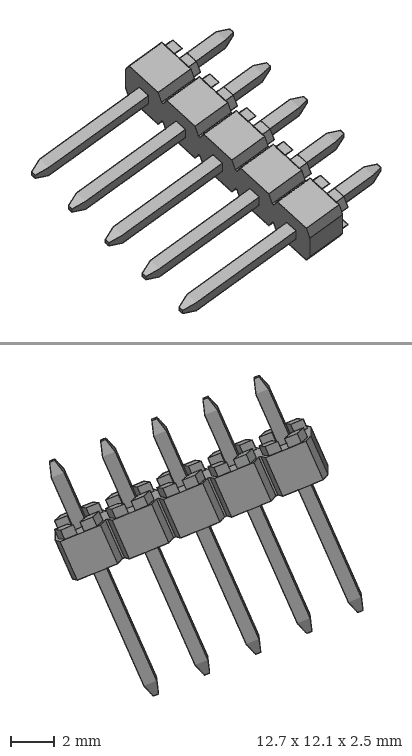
import cadquery as cq


PIN_COUNT = 5
BODY_LENGTH = 12.7
BODY_DEPTH = 2.01
BODY_HEIGHT = 2.5
PITCH = BODY_LENGTH / PIN_COUNT
BEVEL_RUN = 0.24
BEVEL_DROP = 0.52
NOTCH_FLOOR = 0.1

PIN_WIDTH = 0.64
TIP_WIDTH = 0.25
TIP_LENGTH = 0.66
PIN_LENGTH = 12.12
BACK_TAIL = 3.35

FOOT_DEPTH = 0.48
FOOT_HEIGHT = 0.52
FOOT_INSET = 0.05
FOOT_INNER = 0.17
FOOT_OUTER = 0.8
FOOT_SLANT = 0.3

BODY_BACK = PIN_LENGTH / 2 - BACK_TAIL
BODY_FRONT = BODY_BACK - BODY_DEPTH
PIN_POSITIONS = [(i - (PIN_COUNT - 1) / 2) * PITCH for i in range(PIN_COUNT)]


def extrude_along_y(points, y_start, depth):
    """Extrude a closed XZ outline from y_start toward +Y."""
    plane = cq.Workplane("XZ", origin=(0, y_start, 0))
    return plane.polyline(points).close().extrude(-depth)


def make_body():
    """Long block with bevelled ends and a V notch between neighbouring positions."""
    half_length = BODY_LENGTH / 2
    half_height = BODY_HEIGHT / 2
    shoulder = half_height - BEVEL_DROP

    upper_edge = [(-half_length, shoulder), (-half_length + BEVEL_RUN, half_height)]
    for left, right in zip(PIN_POSITIONS, PIN_POSITIONS[1:]):
        middle = (left + right) / 2
        half_floor = NOTCH_FLOOR / 2
        half_mouth = half_floor + BEVEL_RUN
        upper_edge += [
            (middle - half_mouth, half_height),
            (middle - half_floor, shoulder),
            (middle + half_floor, shoulder),
            (middle + half_mouth, half_height),
        ]
    upper_edge += [(half_length - BEVEL_RUN, half_height), (half_length, shoulder)]

    lower_edge = [(x, -z) for x, z in reversed(upper_edge)]
    return extrude_along_y(upper_edge + lower_edge, BODY_FRONT, BODY_DEPTH)


def make_pin(x):
    """Square pin with a tapered tip at each end."""
    shaft_length = PIN_LENGTH - 2 * TIP_LENGTH
    pin = cq.Workplane("XY").box(PIN_WIDTH, shaft_length, PIN_WIDTH)
    for side in (-1, 1):
        tip = (
            cq.Workplane("XZ", origin=(0, side * shaft_length / 2, 0))
            .rect(PIN_WIDTH, PIN_WIDTH)
            .workplane(offset=-side * TIP_LENGTH)
            .rect(TIP_WIDTH, TIP_WIDTH)
            .loft(ruled=True)
        )
        pin = pin.union(tip)
    return pin.translate((x, 0, 0))


def make_foot(x, side_x, side_z):
    """Slanted foot beside a pin, leaning away from it toward the middle of the height."""
    far_z = BODY_HEIGHT / 2 - FOOT_INSET
    near_z = far_z - FOOT_HEIGHT
    outline = [
        (FOOT_INNER, far_z),
        (FOOT_OUTER, far_z),
        (FOOT_OUTER + FOOT_SLANT, near_z),
        (FOOT_INNER + FOOT_SLANT, near_z),
    ]
    points = [(x + side_x * u, side_z * w) for u, w in outline]
    return extrude_along_y(points, BODY_BACK, FOOT_DEPTH)


result = make_body()
for pin_x in PIN_POSITIONS:
    result = result.union(make_pin(pin_x))
    for side_x in (-1, 1):
        for side_z in (-1, 1):
            result = result.union(make_foot(pin_x, side_x, side_z))